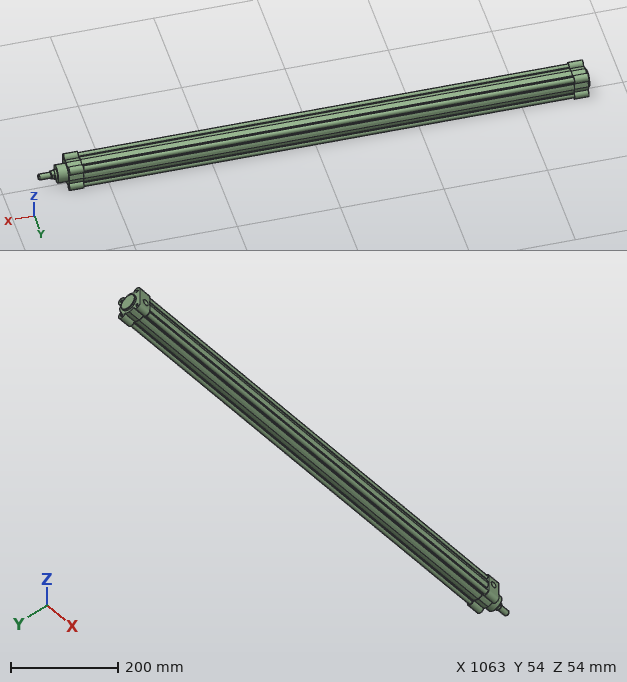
import cadquery as cq
import math

TOTAL_LENGTH = 1063.0
CAP_SIZE = 54.0

REAR_BOSS_LENGTH = 4.0
REAR_CAP_LENGTH = 28.0
FRONT_CAP_LENGTH = 28.0
FRONT_FACE_X = 1009.0
COLLAR_LENGTH = 19.0
NOSE_LENGTH = 4.0
THREAD_LENGTH = 23.0

BARREL_START_X = REAR_BOSS_LENGTH + REAR_CAP_LENGTH
BARREL_END_X = FRONT_FACE_X - FRONT_CAP_LENGTH
COLLAR_END_X = FRONT_FACE_X + COLLAR_LENGTH
NOSE_END_X = COLLAR_END_X + NOSE_LENGTH
THREAD_START_X = TOTAL_LENGTH - THREAD_LENGTH

COLLAR_DIAMETER = 35.0
BOSS_CHAMFER = 1.0
NOSE_DIAMETER = 19.0
LOBE_SPACING = 38.0
LOBE_OFFSET = LOBE_SPACING / 2
CAP_LOBE_RADIUS = (CAP_SIZE - LOBE_SPACING) / 2
CAP_RIDGE_HEIGHT = 24.0
CAP_SHOULDER_HALF_WIDTH = 7.0
CAP_SHOULDER_HEIGHT = 22.0
CAP_FOOT_HALF_WIDTH = 12.0
CAP_FOOT_HEIGHT = 20.0
SCREW_HOLE_DIAMETER = 5.0
SCREW_HOLE_DEPTH = 16.0
PORT_DIAMETER = 13.0
PORT_DEPTH = 13.0
PORT_RISE = 5.0
REAR_PORT_X = 20.0
FRONT_PORT_X = 994.0

BARREL_LOBE_RADIUS = 5.0
BARREL_RIDGE_HEIGHT = 25.0
BARREL_SHOULDER_HALF_WIDTH = 5.0
BARREL_SHOULDER_HEIGHT = 24.0
BARREL_LIP_HALF_WIDTH = 11.0
BARREL_FOOT_HALF_WIDTH = 13.0
BARREL_FOOT_HEIGHT = 22.0

ROD_DIAMETER = 16.0
ROD_FLATS_WIDTH = 13.0
FLATS_START_X = 1033.0
FLATS_LENGTH = 4.0
THREAD_DIAMETER = 12.0
SHOULDER_CHAMFER = 1.0
TIP_CHAMFER = 2.0


def section_plane(x):
    """Cross-section plane at x: local x is Y and local y is Z."""
    return cq.Workplane("YZ", origin=(x, 0, 0))


def disc(x, length, diameter):
    """Cylinder on the X axis."""
    return section_plane(x).circle(diameter / 2).extrude(length)


def corner_cylinders(x, length, radius):
    """One cylinder on each of the four corner axes."""
    plane = section_plane(x).rect(LOBE_SPACING, LOBE_SPACING, forConstruction=True)
    return plane.vertices().circle(radius).extrude(length)


def rotated_outline(quarter):
    """Closed outline made of four turned copies of a list of points."""
    outline = []
    for turn in range(4):
        c = round(math.cos(turn * math.pi / 2))
        s = round(math.sin(turn * math.pi / 2))
        outline += [(c * y - s * z, s * y + c * z) for y, z in quarter]
    return outline


def ridged_side(ridge_height, slope):
    """Points of the +Z side from +Y to -Y, ending on the corner axis where the next side begins.

    The slope lists the points that lead down from the ridge on its +Y half.
    """
    mirrored_slope = [(-y, z) for y, z in slope]
    corner = (-LOBE_OFFSET, LOBE_OFFSET)
    return [*reversed(slope), (0, ridge_height), *mirrored_slope, corner]


def cap_block(x, length):
    """Four corner lobes, low ridged sides between them and a flat port side at -Y."""
    slope = [
        (CAP_SHOULDER_HALF_WIDTH, CAP_SHOULDER_HEIGHT),
        (CAP_FOOT_HALF_WIDTH, CAP_FOOT_HEIGHT),
    ]
    side = ridged_side(CAP_RIDGE_HEIGHT, slope)
    block = section_plane(x).polyline(rotated_outline(side)).close().extrude(length)
    block = block.union(corner_cylinders(x, length, CAP_LOBE_RADIUS))
    port_side = cq.Workplane("XY").box(length, CAP_SIZE / 2, LOBE_SPACING, centered=(False, False, True))
    port_side = port_side.translate((x, -CAP_SIZE / 2, 0))
    return block.union(port_side)


def port(x, z):
    """Blind port drilled from the -Y side."""
    return cq.Workplane("XZ", origin=(x, -CAP_SIZE / 2, z)).circle(PORT_DIAMETER / 2).extrude(-PORT_DEPTH)


def make_rear_cap():
    cap = cap_block(REAR_BOSS_LENGTH, REAR_CAP_LENGTH)
    boss = disc(0, REAR_BOSS_LENGTH, COLLAR_DIAMETER).faces("<X").chamfer(BOSS_CHAMFER)
    cap = cap.union(boss)
    cap = cap.cut(corner_cylinders(REAR_BOSS_LENGTH, SCREW_HOLE_DEPTH, SCREW_HOLE_DIAMETER / 2))
    return cap.cut(port(REAR_PORT_X, -PORT_RISE))


def make_front_cap():
    cap = cap_block(BARREL_END_X, FRONT_CAP_LENGTH)
    cap = cap.union(disc(FRONT_FACE_X, COLLAR_LENGTH, COLLAR_DIAMETER))
    cap = cap.union(disc(COLLAR_END_X, NOSE_LENGTH, NOSE_DIAMETER))
    hole_start = FRONT_FACE_X - SCREW_HOLE_DEPTH
    cap = cap.cut(corner_cylinders(hole_start, SCREW_HOLE_DEPTH, SCREW_HOLE_DIAMETER / 2))
    return cap.cut(port(FRONT_PORT_X, PORT_RISE))


def make_barrel():
    """Profile with a shallow ridge on each side and a rounded rib along each corner."""
    length = BARREL_END_X - BARREL_START_X
    slope = [
        (BARREL_SHOULDER_HALF_WIDTH, BARREL_SHOULDER_HEIGHT),
        (BARREL_LIP_HALF_WIDTH, BARREL_FOOT_HEIGHT),
        (BARREL_FOOT_HALF_WIDTH, BARREL_FOOT_HEIGHT),
    ]
    side = ridged_side(BARREL_RIDGE_HEIGHT, slope)
    core = section_plane(BARREL_START_X).polyline(rotated_outline(side)).close().extrude(length)
    return core.union(corner_cylinders(BARREL_START_X, length, BARREL_LOBE_RADIUS))


def make_rod():
    """Rod end standing on the nose of the front collar, with two wrench flats and a thread."""
    shank = disc(NOSE_END_X, THREAD_START_X - NOSE_END_X, ROD_DIAMETER)
    shank = shank.faces(">X").chamfer(SHOULDER_CHAMFER)
    flats_slice = disc(FLATS_START_X, FLATS_LENGTH, ROD_DIAMETER)
    flats_core = section_plane(FLATS_START_X).rect(ROD_FLATS_WIDTH, ROD_DIAMETER).extrude(FLATS_LENGTH)
    shank = shank.cut(flats_slice.cut(flats_core))
    thread = disc(THREAD_START_X, THREAD_LENGTH, THREAD_DIAMETER).faces(">X").chamfer(TIP_CHAMFER)
    return shank.union(thread)


rear_cap = make_rear_cap()
barrel = make_barrel()
front_cap = make_front_cap()
rod = make_rod()

result = cq.Compound.makeCompound([rear_cap.val(), barrel.val(), front_cap.val(), rod.val()])